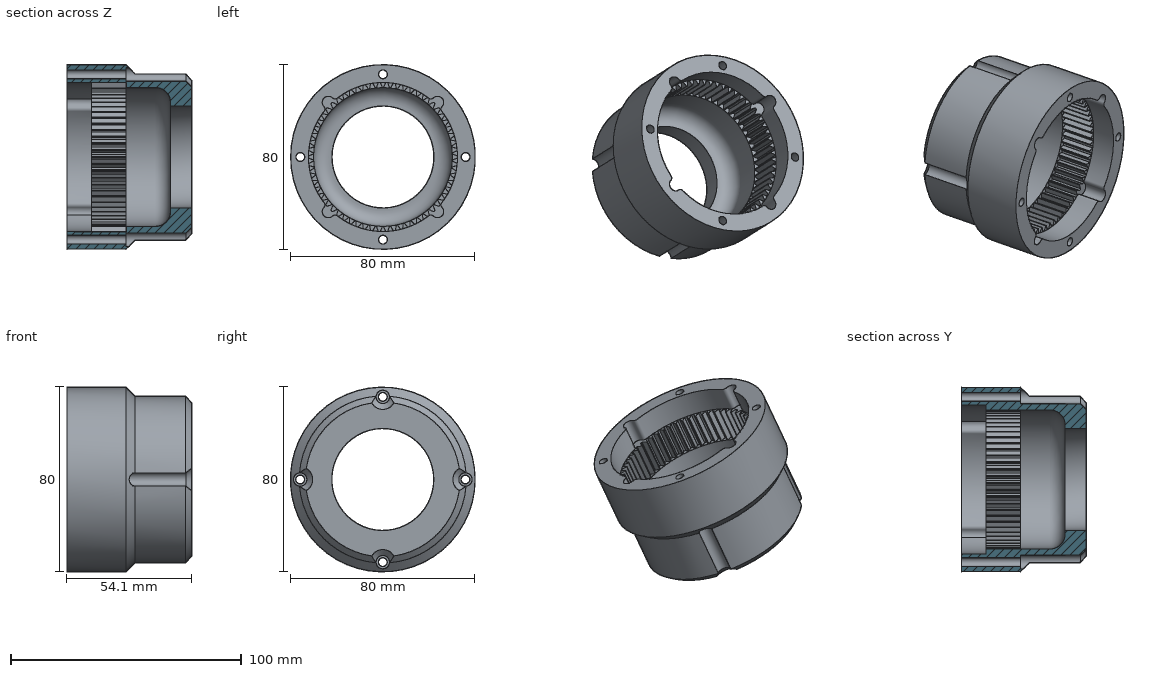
import cadquery as cq
import math

flange_radius = 40.0
flange_length = 25.6
hub_radius = 36.2
shoulder_length = flange_radius - hub_radius
total_length = 54.1
hub_chamfer = 2.7

recess_radius = 32.2
recess_depth = 10.6
cavity_fillet = 6.4
cavity_depth = 44.8
bore_radius = 22.0

tooth_count = 62
tip_radius = 30.0
tooth_depth_in_modules = 2.25
tooth_tip_land = 0.36
tooth_root_land = 0.9
gear_module = tip_radius / (tooth_count / 2 - 1)
root_radius = tip_radius + tooth_depth_in_modules * gear_module
gear_length = flange_length - recess_depth
cavity_radius = tip_radius

scallop_radius = 2.6
scallop_center_radius = 33.4
scallop_first_angle = 45
scallop_mouth_fillet = 1.6

screw_circle_radius = 35.8
screw_hole_radius = 1.8
groove_radius = 2.9
groove_flare = 2.6
flare_angle = 45

places_around = 4


def cylinder(radius, start, length):
    """A cylinder on the part axis, beginning at X = start."""
    return cq.Workplane("YZ", origin=(start, 0, 0)).circle(radius).extrude(length)


def cylinders_around(radius, circle_radius, first_angle, start, length):
    """Equally spaced cylinders parallel to the part axis."""
    return (
        cq.Workplane("YZ", origin=(start, 0, 0))
        .polarArray(circle_radius, first_angle, 360, places_around)
        .circle(radius)
        .extrude(length)
    )


def outer_body():
    flange = cylinder(flange_radius, 0, flange_length + shoulder_length)
    flange = flange.faces(">X").chamfer(shoulder_length)
    hub = cylinder(hub_radius, 0, total_length).faces(">X").chamfer(hub_chamfer)
    return flange.union(hub)


def recess():
    """Shallow counterbore with four scallops, their mouths rounded."""
    scallops = cylinders_around(scallop_radius, scallop_center_radius, scallop_first_angle, 0, recess_depth)
    mouths = cq.selectors.BoxSelector(
        (0, -recess_radius, -recess_radius),
        (recess_depth, recess_radius, recess_radius),
    )
    pocket = cylinder(recess_radius, 0, recess_depth).union(scallops)
    return pocket.edges("|X").edges(mouths).fillet(scallop_mouth_fillet)


def cavity():
    """Round chamber with a filleted floor, and the bore through it."""
    chamber = cylinder(cavity_radius, 0, cavity_depth).faces(">X").edges().fillet(cavity_fillet)
    return chamber.union(cylinder(bore_radius, 0, total_length))


def gear_space():
    """The space inside the teeth; one tooth is centred on +Z."""
    half_pitch = math.pi / tooth_count
    half_tip = tooth_tip_land / 2 / tip_radius
    half_root = tooth_root_land / 2 / root_radius
    outline = []
    for tooth in range(tooth_count):
        tooth_angle = math.pi / 2 + tooth * 2 * half_pitch
        gap_angle = tooth_angle + half_pitch
        corners = (
            (tip_radius, tooth_angle - half_tip),
            (tip_radius, tooth_angle + half_tip),
            (root_radius, gap_angle - half_root),
            (root_radius, gap_angle + half_root),
        )
        for radius, angle in corners:
            outline.append((radius * math.cos(angle), radius * math.sin(angle)))
    gear_face = cq.Workplane("YZ", origin=(recess_depth, 0, 0))
    return gear_face.polyline(outline).close().extrude(gear_length)


def grooves():
    """Round grooves along the hub, flared where they leave its end."""
    groove_length = total_length - flange_length
    straight = cylinders_around(groove_radius, screw_circle_radius, 0, flange_length, groove_length)
    flares = (
        cq.Workplane("YZ", origin=(total_length, 0, 0))
        .polarArray(screw_circle_radius, 0, 360, places_around)
        .circle(groove_radius + groove_flare)
        .extrude(-groove_flare, taper=flare_angle)
    )
    return straight.union(flares)


def screw_holes():
    return cylinders_around(screw_hole_radius, screw_circle_radius, 0, 0, flange_length)


result = (
    outer_body()
    .cut(recess())
    .cut(cavity())
    .cut(gear_space())
    .cut(grooves())
    .cut(screw_holes())
)